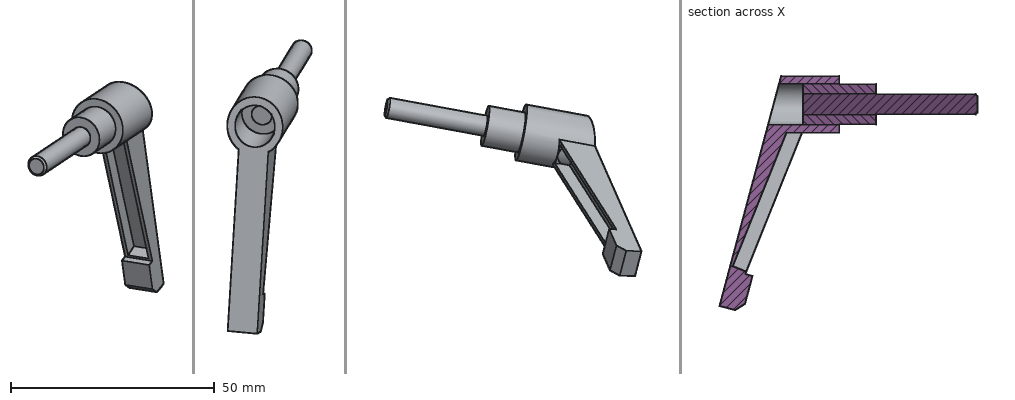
import cadquery as cq
import math


overall_length = 63.4
overall_height = 57.55

hub_diameter = 14.0
hub_radius = hub_diameter / 2
bore_radius = 5.0
hub_top_length = 14.3
slant_angle = 15.0

arm_width = 7.5
arm_bottom = hub_radius - overall_height
tip_flat = 4.0
tip_chamfer_along = 2.15
tip_chamfer_across = 1.95
pad_length = 9.25
pad_step = 1.85
arm_root_y = 8.75
arm_root_z = -5.95

pocket_wall = 0.95
pocket_depth = 3.55
pocket_top_z = -7.05
pocket_end_margin = 0.65

bush_protrusion = 9.0
bush_insertion = 9.0
screw_radius = 2.55
screw_chamfer = 0.5

slant = math.radians(slant_angle)
along_y, along_z = math.sin(slant), -math.cos(slant)
across_y, across_z = -math.cos(slant), -math.sin(slant)


def back_y(z):
    """Y of the slanted back plane at height z."""
    return hub_top_length + (hub_radius - z) * math.tan(slant)


def shifted(point, along=0.0, across=0.0):
    """Move a (Y, Z) point along and across the slanted back."""
    y, z = point
    return (y + along * along_y + across * across_y, z + along * along_z + across * across_z)


def y_cylinder(radius, y_start, y_end):
    """Cylinder on the hub axis between two Y positions."""
    return cq.Workplane("XZ", origin=(0, y_start, 0)).circle(radius).extrude(y_start - y_end)


def extrude_profile(points, width):
    """Extrude a closed (Y, Z) outline equally to both sides of X = 0."""
    return cq.Workplane("YZ").polyline(points).close().extrude(width / 2, both=True)


back_tip_z = arm_bottom - tip_flat * across_z
back_tip = (back_y(back_tip_z), back_tip_z)
front_tip = shifted(back_tip, across=tip_flat)
pad_bottom = shifted(front_tip, along=-tip_chamfer_along, across=tip_chamfer_across)
pad_top = shifted(pad_bottom, along=tip_chamfer_along - pad_length)
pad_root = shifted(pad_top, across=-pad_step)
arm_root = (arm_root_y, arm_root_z)


def make_arm():
    outline = [back_tip, front_tip, pad_bottom, pad_top, pad_root, arm_root, (arm_root_y, 0), (back_y(0), 0)]
    return extrude_profile(outline, arm_width)


def make_pocket():
    """Rectangular pocket cut square to the sloping front face of the arm."""
    run_y = pad_root[0] - arm_root[0]
    run_z = pad_root[1] - arm_root[1]
    run = math.hypot(run_y, run_z)
    down_y, down_z = run_y / run, run_z / run
    top_distance = (pocket_top_z - arm_root_z) / down_z
    pocket_length = run - pocket_end_margin - top_distance
    front_plane = cq.Plane(
        origin=(0, arm_root_y + top_distance * down_y, pocket_top_z),
        xDir=(0, down_y, down_z),
        normal=(0, -down_z, down_y),
    )
    return (
        cq.Workplane(front_plane)
        .center(pocket_length / 2, 0)
        .rect(pocket_length, arm_width - 2 * pocket_wall)
        .extrude(pocket_depth)
    )


def make_hub():
    """Full cylinder trimmed by the plane of the slanted back."""
    trim = [
        (0, hub_radius),
        (0, -hub_radius),
        (back_y(-hub_radius), -hub_radius),
        (hub_top_length, hub_radius),
    ]
    cylinder = y_cylinder(hub_radius, 0, back_y(-hub_radius))
    return cylinder.intersect(extrude_profile(trim, 2 * hub_radius))


def make_handle():
    arm = make_arm().cut(make_pocket())
    bore = y_cylinder(bore_radius, 0, back_y(-hub_radius))
    return make_hub().union(arm).cut(bore)


def make_bush():
    """Sleeve filling the front of the bore, with a through hole for the screw."""
    sleeve = y_cylinder(bore_radius, -bush_protrusion, bush_insertion)
    return sleeve.cut(y_cylinder(screw_radius, -bush_protrusion, bush_insertion))


def make_screw():
    """Plain shank through the bush, chamfered at its free end."""
    shank = y_cylinder(screw_radius, back_tip[0] - overall_length, bush_insertion)
    return shank.faces("<Y").chamfer(screw_chamfer)


handle = make_handle()
bush = make_bush()
screw = make_screw()

result = cq.Compound.makeCompound([handle.val(), bush.val(), screw.val()])